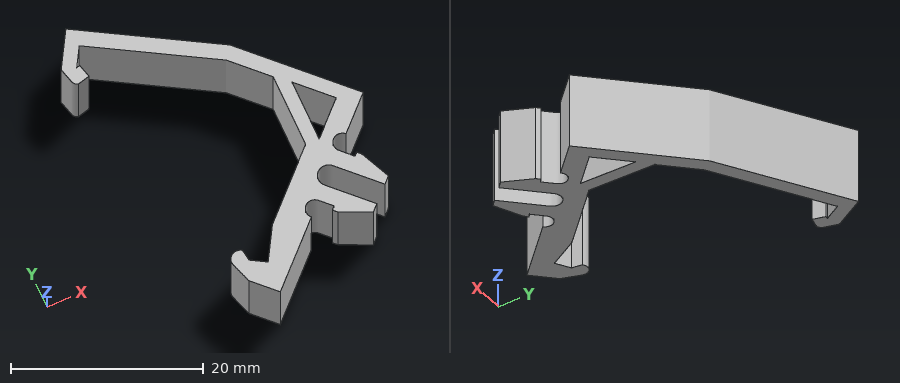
import cadquery as cq
import math

DEPTH = 9.0
TURN_ANGLE = 45.0

BASE_LENGTH = 24.0
BASE_THICKNESS = 3.5
WALL_LENGTH = 14.8
WALL_THICKNESS = 1.75
BEND_ANGLE = 15.0

ARM_LENGTH = 17.17
HOOK_LENGTH = 4.61
HOOK_THICKNESS = 1.6
TAIL_BEND = 45.0
TAIL_LENGTH = 2.4
TAIL_THICKNESS = 1.8
TAIL_STEP = 0.85
TAIL_CORNER_SIDE = 0.65
TAIL_CORNER_END = 0.4
TAIL_CORNER_BULGE = 0.1

CATCH_SLOPE_START = 17.25
CATCH_SLOPE_LENGTH = 4.2
CATCH_RISE = 1.95
CATCH_TIP_RADIUS = 1.0
CATCH_TIP_CENTER = (-22.03, 5.2)
CATCH_TIP_END_ANGLE = 7.0

RIB_REACH = 11.1
RIB_THICKNESS = 1.55
WINDOW_WALL = 1.6
WINDOW_BASE = 2.4

CLIP_CENTER = -10.0
SLOT_RADIUS = 1.17
LEG_OUTSIDE = 3.0
BARB_OUTSIDE = 3.5
TIP_OUTSIDE = 2.2
BARB_TOP = -1.75
BARB_TAPER_START = -2.35
CLIP_BOTTOM = -5.8
NOTCH_RADIUS = 1.0


def step(point, angle, distance):
    """Point reached from another by going a distance at an angle from +X, in degrees."""
    direction = math.radians(angle)
    return (
        point[0] + distance * math.cos(direction),
        point[1] + distance * math.sin(direction),
    )


def tangent_angle(point, center, radius):
    """Angle on a circle where the line from an outside point, on its clockwise side, is tangent."""
    dx = point[0] - center[0]
    dy = point[1] - center[1]
    return math.degrees(math.atan2(dy, dx) - math.acos(radius / math.hypot(dx, dy)))


def make_body():
    """Base, side wall, arm, hook and catch as one profile."""
    arm_angle = 90 + BEND_ANGLE
    hook_angle = arm_angle + 90
    tail_angle = hook_angle + TAIL_BEND

    wall_end = (0, WALL_LENGTH)
    arm_end = step(wall_end, arm_angle, ARM_LENGTH)
    hook_end = step(arm_end, hook_angle, HOOK_LENGTH)
    tail_end = step(hook_end, tail_angle, TAIL_LENGTH)
    corner_start = step(hook_end, tail_angle, TAIL_LENGTH - TAIL_CORNER_SIDE)
    corner_end = step(tail_end, tail_angle + 90, TAIL_CORNER_END)
    chord_middle = ((corner_start[0] + corner_end[0]) / 2, (corner_start[1] + corner_end[1]) / 2)
    chord_slant = math.degrees(math.atan2(TAIL_CORNER_END, TAIL_CORNER_SIDE))
    corner_middle = step(chord_middle, tail_angle + chord_slant - 90, TAIL_CORNER_BULGE)

    tail_inner_end = step(tail_end, tail_angle + 90, TAIL_THICKNESS)
    tail_step_outer = step(tail_inner_end, tail_angle + 180, TAIL_LENGTH - TAIL_STEP)
    hook_inner_corner = step(step(arm_end, hook_angle, WALL_THICKNESS), arm_angle + 180, HOOK_THICKNESS)
    bend = math.radians(TAIL_BEND)
    step_run = (TAIL_STEP - HOOK_THICKNESS * math.sin(bend)) / math.cos(bend)
    hook_inner_length = HOOK_LENGTH - WALL_THICKNESS + step_run
    tail_step_inner = step(hook_inner_corner, hook_angle, hook_inner_length)
    miter_drop = WALL_THICKNESS * math.tan(math.radians(BEND_ANGLE / 2))
    wall_inner_end = (-WALL_THICKNESS, WALL_LENGTH - miter_drop)
    rib_top = (-WALL_THICKNESS, RIB_REACH - WALL_THICKNESS)
    rib_bottom = (BASE_THICKNESS - RIB_REACH, BASE_THICKNESS)

    slope_start = (-CATCH_SLOPE_START, BASE_THICKNESS)
    slope_end = step(slope_start, 180 + BEND_ANGLE, CATCH_SLOPE_LENGTH)
    catch_foot = step(slope_end, 90 + BEND_ANGLE, CATCH_RISE)
    base_end_top = (-BASE_LENGTH, BASE_THICKNESS)
    tip_end_angle = tangent_angle(base_end_top, CATCH_TIP_CENTER, CATCH_TIP_RADIUS) % 360
    tip_middle_angle = (CATCH_TIP_END_ANGLE + tip_end_angle) / 2
    tip_start, tip_middle, tip_end = [
        step(CATCH_TIP_CENTER, angle, CATCH_TIP_RADIUS)
        for angle in (CATCH_TIP_END_ANGLE, tip_middle_angle, tip_end_angle)
    ]

    return (
        cq.Workplane("XY")
        .polyline([(0, 0), wall_end, arm_end, hook_end, corner_start])
        .threePointArc(corner_middle, corner_end)
        .lineTo(*tail_inner_end)
        .lineTo(*tail_step_outer)
        .lineTo(*tail_step_inner)
        .lineTo(*hook_inner_corner)
        .lineTo(*wall_inner_end)
        .lineTo(*rib_top)
        .lineTo(*rib_bottom)
        .lineTo(*slope_start)
        .lineTo(*slope_end)
        .lineTo(*catch_foot)
        .lineTo(*tip_start)
        .threePointArc(tip_middle, tip_end)
        .lineTo(*base_end_top)
        .lineTo(-BASE_LENGTH, 0)
        .close()
        .extrude(DEPTH)
    )


def make_window():
    """Triangular opening between the rib and the outer corner."""
    leg = RIB_REACH - RIB_THICKNESS * math.sqrt(2) - WINDOW_WALL - WINDOW_BASE
    corner = (-WINDOW_WALL, WINDOW_BASE)
    wall_point = (corner[0], corner[1] + leg)
    base_point = (corner[0] - leg, corner[1])
    return cq.Workplane("XY").polyline([corner, wall_point, base_point]).close().extrude(DEPTH)


def make_leg(side):
    """One barbed clip leg; side is +1 or -1. It is solid to the centre line."""
    half_outline = [
        (0, 0),
        (LEG_OUTSIDE, 0),
        (LEG_OUTSIDE, BARB_TOP),
        (BARB_OUTSIDE, BARB_TOP),
        (BARB_OUTSIDE, BARB_TAPER_START),
        (TIP_OUTSIDE, CLIP_BOTTOM),
        (0, CLIP_BOTTOM),
    ]
    outline = [(CLIP_CENTER + side * offset, y) for offset, y in half_outline]
    return cq.Workplane("XY").polyline(outline).close().extrude(DEPTH)


def make_slot():
    """Round-ended slot that parts the two legs."""
    left = CLIP_CENTER - SLOT_RADIUS
    right = CLIP_CENTER + SLOT_RADIUS
    return (
        cq.Workplane("XY")
        .moveTo(left, CLIP_BOTTOM)
        .lineTo(right, CLIP_BOTTOM)
        .lineTo(right, 0)
        .threePointArc((CLIP_CENTER, SLOT_RADIUS), (left, 0))
        .close()
        .extrude(DEPTH)
    )


def make_notch(side):
    """Half-round relief in the base beside a leg; side is +1 or -1."""
    center = CLIP_CENTER + side * (LEG_OUTSIDE + NOTCH_RADIUS)
    return (
        cq.Workplane("XY")
        .moveTo(center + NOTCH_RADIUS, 0)
        .threePointArc((center, NOTCH_RADIUS), (center - NOTCH_RADIUS, 0))
        .close()
        .extrude(DEPTH)
    )


bracket = make_body().cut(make_window())
for leg_side in (1, -1):
    bracket = bracket.union(make_leg(leg_side)).cut(make_notch(leg_side))
bracket = bracket.cut(make_slot())

result = bracket.rotate((0, 0, 0), (0, 0, 1), TURN_ANGLE)